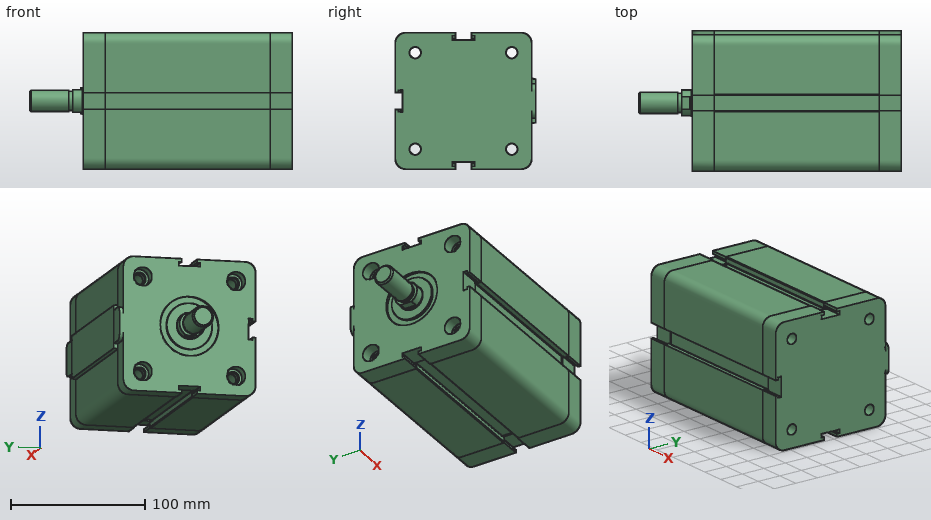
import cadquery as cq


block_width = 102.0
corner_radius = 8.0
cap_length = 16.5
block_length = 156.0
barrel_length = block_length - 2 * cap_length
barrel_start = cap_length
rear_cap_start = cap_length + barrel_length

groove_depth_cap = 5.4
upright_groove_lip_cap = 2.4
side_groove_lip_cap = 2.2
groove_depth_barrel = 6.6
upright_groove_lip_barrel = 4.5
side_groove_lip_barrel = 4.2
upright_groove_chamfer_barrel = 0.6
upright_groove_opening = 11.8
upright_groove_undercut = 16.6
side_groove_opening = 12.4
side_groove_undercut = 16.2

pad_height = 3.0
pad_width_cap = 25.5
pad_corner_radius = 5.0
pad_top_width_barrel = 32.6
pad_base_width_barrel = 33.8
pad_edge_height_barrel = 0.6

hole_spacing = 72.0
hole_diameter_cap = 8.38
hole_diameter_barrel = 8.57
countersink_diameter = 9.9
counterbore_diameter = 14.0
counterbore_depth = 10.0

ring_outer_diameter = 45.0
ring_inner_diameter = 35.0
ring_depth = 2.0

rod_diameter = 20.0
shoulder_diameter = 19.5
neck_diameter = 14.5
thread_diameter = 16.0
thread_chamfer = 1.2
flat_width = 17.0
rod_tip = -40.0
neck_start = -10.8
shoulder_start = -8.0
flat_end = -1.8
shoulder_end = -0.6
rod_end = cap_length


def groove(start, length, opening, undercut, lip, depth, mouth_chamfer):
    """T-shaped groove cutter for the top side, running along X, with an optional bevel at its mouth."""
    top = block_width / 2
    slot = cq.Workplane("XY").box(length, opening, depth, centered=(False, True, False))
    wide = cq.Workplane("XY").box(length, undercut, depth - lip, centered=(False, True, False))
    cutter = slot.union(wide)
    if mouth_chamfer > 0:
        mouth = (
            cq.Workplane("YZ")
            .moveTo(-opening / 2, depth - mouth_chamfer)
            .lineTo(-opening / 2 - mouth_chamfer, depth)
            .lineTo(opening / 2 + mouth_chamfer, depth)
            .lineTo(opening / 2, depth - mouth_chamfer)
            .close()
            .extrude(length)
        )
        cutter = cutter.union(mouth)
    return cutter.translate((start, 0, top - depth))


def grooved_block(start, length, depth, upright_lip, side_lip, upright_chamfer):
    """Rounded square block with T-grooves in its top, bottom and -Y sides."""
    block = (
        cq.Workplane("YZ", origin=(start, 0, 0))
        .rect(block_width, block_width)
        .extrude(length)
        .edges("|X")
        .fillet(corner_radius)
    )
    upright = groove(
        start, length, upright_groove_opening, upright_groove_undercut, upright_lip, depth, upright_chamfer
    )
    side = groove(start, length, side_groove_opening, side_groove_undercut, side_lip, depth, 0)
    for angle in (0, 180):
        block = block.cut(upright.rotate((0, 0, 0), (1, 0, 0), angle))
    return block.cut(side.rotate((0, 0, 0), (1, 0, 0), 90))


def corner_holes(start, length, diameter):
    """Four cylinders on the mounting hole pattern."""
    return (
        cq.Workplane("YZ", origin=(start, 0, 0))
        .rect(hole_spacing, hole_spacing, forConstruction=True)
        .vertices()
        .circle(diameter / 2)
        .extrude(length)
    )


def cap_pad(start, outer_edges):
    """Port pad on the +Y side of a cap, rounded at the cap's outer end."""
    return (
        cq.Workplane("XY")
        .box(cap_length, pad_height, pad_width_cap, centered=(False, False, True))
        .edges("|Y and " + outer_edges)
        .fillet(pad_corner_radius)
        .translate((start, block_width / 2, 0))
    )


def cap_body(start, outer_edges):
    """Cap block with its grooves, port pad and through holes, shared by both caps."""
    cap = grooved_block(
        start, cap_length, groove_depth_cap, upright_groove_lip_cap, side_groove_lip_cap, 0
    )
    cap = cap.union(cap_pad(start, outer_edges))
    return cap.cut(corner_holes(start, cap_length, hole_diameter_cap))


def make_front_cap():
    cap = cap_body(0, "<X")
    cap = cap.cut(corner_holes(0, counterbore_depth, counterbore_diameter))
    countersink_depth = (countersink_diameter - hole_diameter_cap) / 2
    countersinks = (
        cq.Workplane("YZ", origin=(counterbore_depth, 0, 0))
        .rect(hole_spacing, hole_spacing, forConstruction=True)
        .vertices()
        .circle(countersink_diameter / 2)
        .extrude(countersink_depth, taper=45)
    )
    cap = cap.cut(countersinks)
    ring = (
        cq.Workplane("YZ")
        .circle(ring_outer_diameter / 2)
        .circle(ring_inner_diameter / 2)
        .extrude(ring_depth)
    )
    rod_bore = cq.Workplane("YZ").circle(rod_diameter / 2).extrude(cap_length)
    return cap.cut(ring).cut(rod_bore)


def make_barrel():
    barrel = grooved_block(
        barrel_start,
        barrel_length,
        groove_depth_barrel,
        upright_groove_lip_barrel,
        side_groove_lip_barrel,
        upright_groove_chamfer_barrel,
    )
    base_y = block_width / 2
    top_y = base_y + pad_height
    edge_y = top_y - pad_edge_height_barrel
    pad = (
        cq.Workplane("YZ", origin=(barrel_start, 0, 0))
        .moveTo(base_y, -pad_base_width_barrel / 2)
        .lineTo(edge_y, -pad_top_width_barrel / 2)
        .lineTo(top_y, -pad_top_width_barrel / 2)
        .lineTo(top_y, pad_top_width_barrel / 2)
        .lineTo(edge_y, pad_top_width_barrel / 2)
        .lineTo(base_y, pad_base_width_barrel / 2)
        .close()
        .extrude(barrel_length)
    )
    holes = corner_holes(barrel_start, barrel_length, hole_diameter_barrel)
    return barrel.union(pad).cut(holes)


def make_rear_cap():
    return cap_body(rear_cap_start, ">X")


def make_rod():
    def segment(start, end, diameter):
        return cq.Workplane("YZ", origin=(start, 0, 0)).circle(diameter / 2).extrude(end - start)

    thread = segment(rod_tip, neck_start, thread_diameter).faces("<X").chamfer(thread_chamfer)
    neck = segment(neck_start, shoulder_start, neck_diameter)
    flat_length = flat_end - shoulder_start
    between_flats = cq.Workplane("XY").box(flat_length, rod_diameter, flat_width)
    flat_cuts = cq.Workplane("XY").box(flat_length, rod_diameter, rod_diameter).cut(between_flats)
    flat_cuts = flat_cuts.translate(((shoulder_start + flat_end) / 2, 0, 0))
    shoulder = segment(shoulder_start, shoulder_end, shoulder_diameter).cut(flat_cuts)
    shank = segment(shoulder_end, rod_end, rod_diameter)
    return thread.union(neck).union(shoulder).union(shank)


front_cap = make_front_cap()
barrel = make_barrel()
rear_cap = make_rear_cap()
rod = make_rod()

result = cq.Compound.makeCompound([front_cap.val(), barrel.val(), rear_cap.val(), rod.val()])